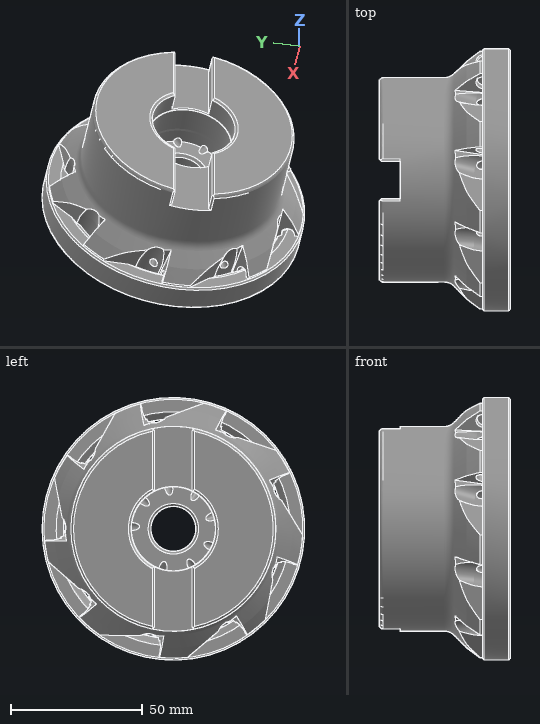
import cadquery as cq
import math


length = 50.0
hub_radius = 39.0
hub_face_radius = 38.0
hub_bevel_length = 0.7
hub_edge_fillet = 1.0
hub_edge_end = 1.5
neck_start = 24.9
neck_fillet = 5.0
neck_angle = math.radians(45)
ridge_x = 33.4
rim_x = 38.4
rim_radius = 49.2

ring_start = 39.3
ring_radius = 50.0
ring_chamfer = 0.7
ring_mouth_radius = 44.6
ring_cone_start = 39.8
ring_cone_radius = 43.9
ring_cone_end = 41.6
ring_bore_radius = 41.8

bore_radius = 16.0
bore_depth = 26.0
bore_chamfer_radial = 1.1
bore_chamfer_axial = 0.6
relief_radius = 16.15
relief_start = 9.0
relief_end = 19.5
relief_taper = 0.9
screw_hole_radius = 8.5
screw_hole_chamfer = 1.1
slot_width = 14.2
slot_depth = 8.0
slot_chamfer = 0.9

tooth_angles = [105, 66, 26, -16, -55, -96, -136.5, -174.5, 145.5]
tooth_without_coolant = -136.5
floor_lead = 5.3
floor_height = 40.8
flute_start = 28.0
rake_offset = 3.0
rake_tilt = 9.0
flute_reach = 50.0

gullet_radius = 5.2
gullet_offset = 5.35
gullet_depth = 2.8
gullet_bend_x = 37.2
gullet_slope = 15.5

seat_radius = 2.5
seat_x = 39.4
seat_height = 45.0
seat_depth = 2.7

coolant_radius = 1.5
coolant_lag = 8.6
coolant_exit_x = 38.9
coolant_exit_offset = 8.2
coolant_exit_height = 38.3
coolant_lead_in = 4.0
coolant_overrun = 2.0


def revolve_about_x(profile):
    return profile.close().revolve(360, (0, 0, 0), (1, 0, 0))


def tilted_x_direction(degrees):
    """X direction leaned towards -Y in the flute frame."""
    angle = math.radians(degrees)
    return cq.Vector(math.cos(angle), -math.sin(angle), 0)


def make_body():
    def hub_edge_point(angle):
        """Point on the rounded hub edge, angle measured back from its tangent end."""
        x = hub_edge_end - hub_edge_fillet * math.sin(angle)
        return x, hub_radius - hub_edge_fillet * (1 - math.cos(angle))

    def neck_point(angle):
        """Point on the neck fillet, angle measured from its tangent start."""
        x = neck_start + neck_fillet * math.sin(angle)
        return x, hub_radius + neck_fillet * (1 - math.cos(angle))

    edge_angle = math.asin((hub_edge_end - hub_bevel_length) / hub_edge_fillet)
    fillet_end = neck_point(neck_angle)
    ridge_radius = fillet_end[1] + (ridge_x - fillet_end[0]) * math.tan(neck_angle)
    return revolve_about_x(
        cq.Workplane("XY")
        .moveTo(0, 0)
        .lineTo(0, hub_face_radius)
        .lineTo(*hub_edge_point(edge_angle))
        .threePointArc(hub_edge_point(edge_angle / 2), hub_edge_point(0))
        .lineTo(neck_start, hub_radius)
        .threePointArc(neck_point(neck_angle / 2), fillet_end)
        .lineTo(ridge_x, ridge_radius)
        .lineTo(rim_x, rim_radius)
        .lineTo(length, rim_radius)
        .lineTo(length, 0)
    )


def make_ring():
    return revolve_about_x(
        cq.Workplane("XY")
        .moveTo(ring_start, ring_mouth_radius)
        .lineTo(ring_start, ring_radius - ring_chamfer)
        .lineTo(ring_start + ring_chamfer, ring_radius)
        .lineTo(length - ring_chamfer, ring_radius)
        .lineTo(length, ring_radius - ring_chamfer)
        .lineTo(length, ring_bore_radius)
        .lineTo(ring_cone_end, ring_bore_radius)
        .lineTo(ring_cone_start, ring_cone_radius)
    )


def make_bore():
    return revolve_about_x(
        cq.Workplane("XY")
        .moveTo(0, 0)
        .lineTo(0, bore_radius + bore_chamfer_radial)
        .lineTo(bore_chamfer_axial, bore_radius)
        .lineTo(relief_start, bore_radius)
        .lineTo(relief_start, relief_radius)
        .lineTo(relief_end, relief_radius)
        .lineTo(relief_end + relief_taper, bore_radius)
        .lineTo(bore_depth, bore_radius)
        .lineTo(bore_depth, screw_hole_radius + screw_hole_chamfer)
        .lineTo(bore_depth + screw_hole_chamfer, screw_hole_radius)
        .lineTo(length, screw_hole_radius)
        .lineTo(length, 0)
    )


def make_drive_slot():
    """Slot across the hub face along Z, with bevels on its face edges and outer edges."""
    half = slot_width / 2
    wide = half + slot_chamfer
    slot = (
        cq.Workplane("XY")
        .polyline([
            (0, -wide), (slot_chamfer, -half), (slot_depth, -half),
            (slot_depth, half), (slot_chamfer, half), (0, wide),
        ])
        .close()
        .extrude(ring_radius, both=True)
    )
    outer_z = math.sqrt(hub_radius ** 2 - wide ** 2)
    flare = (
        cq.Workplane("YZ")
        .polyline([
            (0, 0), (half, outer_z - slot_chamfer), (wide, outer_z), (wide, ring_radius),
            (-wide, ring_radius), (-wide, outer_z), (-half, outer_z - slot_chamfer),
        ])
        .close()
        .extrude(slot_depth)
    )
    return slot.union(flare).union(flare.mirror("XY"))


def rake_position(x):
    return rake_offset + (x - flute_start) * math.tan(math.radians(rake_tilt))


def make_flute():
    """Open cut between the rake face and the flat floor."""
    end = length + 1
    return (
        cq.Workplane("XY", origin=(0, 0, floor_height))
        .polyline([
            (flute_start, -rake_position(flute_start)),
            (end, -rake_position(end)),
            (end, -flute_reach),
            (flute_start, -flute_reach),
        ])
        .close()
        .extrude(flute_reach)
    )


def make_gullet():
    """Round trough in the floor: a sloping run from the hub, then a level run to the end."""
    axis_height = floor_height - gullet_depth + gullet_radius
    bend = cq.Vector(gullet_bend_x, -rake_position(gullet_bend_x) - gullet_offset, axis_height)
    forward = tilted_x_direction(rake_tilt)
    slope = math.radians(gullet_slope)
    back = forward * -math.cos(slope) + cq.Vector(0, 0, math.sin(slope))
    run = length - flute_start
    path = cq.Workplane(cq.Wire.makePolygon([bend + back * run, bend, bend + forward * run]))
    start_plane = cq.Plane(bend + back * run, cq.Vector(0, 0, 1), back * -1)
    return cq.Workplane(start_plane).circle(gullet_radius).sweep(path, transition="right")


def make_seat():
    center = cq.Vector(seat_x, -rake_position(seat_x), seat_height)
    tilt = math.radians(rake_tilt)
    inward = cq.Vector(math.sin(tilt), math.cos(tilt), 0)
    return cq.Workplane(cq.Solid.makeCylinder(seat_radius, seat_depth, center, inward))


def make_coolant_hole():
    """Straight hole from the corner of the bore floor into the gullet."""
    lag = math.radians(floor_lead + coolant_lag)
    start = cq.Vector(bore_depth, -bore_radius * math.sin(lag), bore_radius * math.cos(lag))
    end = cq.Vector(coolant_exit_x, -coolant_exit_offset, coolant_exit_height)
    path = end - start
    drill_start = start - path.normalized() * coolant_lead_in
    drill_length = coolant_lead_in + path.Length + coolant_overrun
    return cq.Workplane(cq.Solid.makeCylinder(coolant_radius, drill_length, drill_start, path))


def place_at_tooth(cutter, tooth_angle):
    turn = tooth_angle + floor_lead - 90
    return cutter.rotate((0, 0, 0), (1, 0, 0), -turn)


flute = make_flute().union(make_gullet()).union(make_seat())
coolant_hole = make_coolant_hole()

body = make_body()
for angle in tooth_angles:
    body = body.cut(place_at_tooth(flute, angle))

result = body.union(make_ring()).cut(make_bore()).cut(make_drive_slot())
for angle in tooth_angles:
    if angle != tooth_without_coolant:
        result = result.cut(place_at_tooth(coolant_hole, angle))